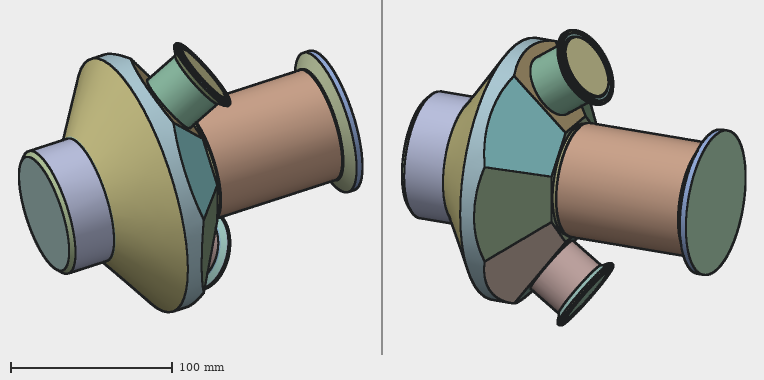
import cadquery as cq
import math


slope_angle = 55.0
slope = math.tan(math.radians(slope_angle))
front_radius = 80.0 / 2
front_chamfer = 3.0
shoulder_chamfer = 0.8
shoulder_y = 30.1
rim_radius = 165.0 / 2
rim_front_y = 60.0
roof_end_y = 101.7
roof_end_apothem = 36.6
roof_sides = 8
neck_radius = 70.0 / 2

port_radius = 40.0 / 2
port_height = 29.4
port_offset = 28.4
port_root_depth = 4.0
port_flange_radius = 50.5 / 2
port_rim_thickness = 2.8
port_rim_chamfer = 0.5
port_flange_thickness = 6.0
port_hub_radius = 42.2 / 2
port_groove_outer_radius = 46.0 / 2
port_groove_inner_radius = 40.0 / 2
port_groove_depth = 0.8

tube_start_y = 104.2
tube_end_y = 197.0
tube_radius = 72.0 / 2
tube_chamfer = 0.4
tube_collar = 0.4
ferrule_radius = 91.0 / 2
ferrule_rim_thickness = 4.1
ferrule_length = 9.3


def revolve_about_y(points):
    """Turn a closed (radius, y) outline about the main axis."""
    return cq.Workplane("XY").polyline(points).close().revolve(360, (0, 0, 0), (0, 1, 0))


def make_roof():
    """Octagonal pyramid frustum, trimmed to the round rim."""
    roof_length = roof_end_y - rim_front_y
    base_apothem = roof_end_apothem + roof_length * slope
    corner_ratio = 1 / math.cos(math.pi / roof_sides)
    half_turn = 180 / roof_sides

    def octagon(apothem, y):
        plane = cq.Plane(origin=(0, y, 0), xDir=(1, 0, 0), normal=(0, 1, 0))
        wire = cq.Workplane(plane).polygon(roof_sides, 2 * apothem * corner_ratio).wires().val()
        return wire.rotate(cq.Vector(0, 0, 0), cq.Vector(0, 1, 0), half_turn)

    pyramid = cq.Solid.makeLoft(
        [octagon(base_apothem, rim_front_y), octagon(roof_end_apothem, roof_end_y)], True
    )
    rim = cq.Workplane("XZ", origin=(0, rim_front_y, 0)).circle(rim_radius).extrude(-roof_length)
    return rim.intersect(cq.Workplane(pyramid))


def make_front():
    """Chamfered front spigot and the cone that widens to the rim."""
    return revolve_about_y([
        (0, 0),
        (front_radius - front_chamfer, 0),
        (front_radius, front_chamfer),
        (front_radius, shoulder_y - shoulder_chamfer),
        (front_radius + shoulder_chamfer, shoulder_y),
        (rim_radius, rim_front_y),
        (0, rim_front_y),
    ])


def make_neck():
    """Short neck between the roof and the outlet tube."""
    neck_length = tube_start_y - roof_end_y
    return cq.Workplane("XZ", origin=(0, roof_end_y, 0)).circle(neck_radius).extrude(-neck_length)


def make_port(side):
    """Port with a grooved clamp flange; side is +1 for the upper one, -1 for the lower one."""
    angle = math.radians(slope_angle)
    foot_y = roof_end_y - port_offset * math.cos(angle)
    foot_z = roof_end_apothem + port_offset * math.sin(angle)
    plane = cq.Plane(
        origin=(0, foot_y, side * foot_z),
        xDir=(1, 0, 0),
        normal=(0, math.sin(angle), side * math.cos(angle)),
    )
    groove_floor = port_height - port_groove_depth
    outline = [
        (0, -port_root_depth),
        (port_radius, -port_root_depth),
        (port_radius, port_height - port_flange_thickness),
        (port_hub_radius, port_height - port_flange_thickness + port_hub_radius - port_radius),
        (port_flange_radius - port_rim_chamfer, port_height - port_rim_thickness),
        (port_flange_radius, port_height - port_rim_thickness + port_rim_chamfer),
        (port_flange_radius, port_height - port_rim_chamfer),
        (port_flange_radius - port_rim_chamfer, port_height),
        (port_groove_outer_radius, port_height),
        (port_groove_outer_radius, groove_floor),
        (port_groove_inner_radius + port_groove_depth, groove_floor),
        (port_groove_inner_radius, port_height),
        (0, port_height),
    ]
    section = cq.Plane(origin=plane.origin, xDir=plane.xDir, normal=plane.xDir.cross(plane.zDir))
    return cq.Workplane(section).polyline(outline).close().revolve(360, (0, 0, 0), (0, 1, 0))


def make_housing():
    housing = make_front().union(make_roof()).union(make_neck())
    for side in (1, -1):
        housing = housing.union(make_port(side))
    return housing


def make_outlet_tube():
    """Round tube with a bevelled inner end and a conical clamp ferrule."""
    return revolve_about_y([
        (0, tube_start_y),
        (tube_radius - tube_chamfer, tube_start_y),
        (tube_radius, tube_start_y + tube_chamfer),
        (tube_radius, tube_end_y - ferrule_length - tube_collar),
        (tube_radius + tube_collar, tube_end_y - ferrule_length + tube_collar),
        (ferrule_radius, tube_end_y - ferrule_rim_thickness),
        (ferrule_radius, tube_end_y),
        (0, tube_end_y),
    ])


housing = make_housing()
outlet_tube = make_outlet_tube()

result = cq.Compound.makeCompound([housing.val(), outlet_tube.val()])